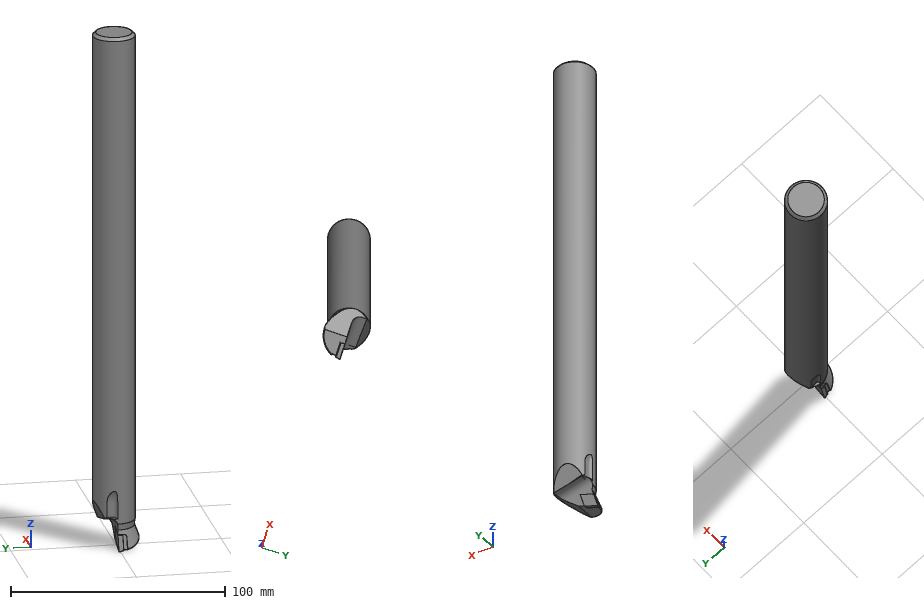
import cadquery as cq
import math


total_length = 251.2
shank_radius = 20.0 / 2
top_chamfer = 1.5

shoulder_z = 12.8
neck_radius = 9.92
neck_waist_radius = 9.67
flare_top_z = 9.8
flare_slope = 0.38
flare_bottom_z = -2.5
head_chamfer = 0.8

tip_x = -12.8
tip_z = 0.0
nose_angle = 55.0
edge_length = 7.8
insert_thickness = 2.39
flank_angle = 7.0
end_edge_angle = (90 - nose_angle) / 2
end_slope = math.tan(math.radians(end_edge_angle))

underside_rise = 0.3
clearance_slope = 0.77
clearance_z = 5.3

floor_z = 13.0
floor_slope = 0.25
floor_fillet = 3.8
wall_start_y = 6.0
wall_slope_x = 0.33
wall_slope_y = 2.2

slot_x = -8.8
slot_bottom_z = 16.5
slot_bottom_round = 1.3
slot_straight_z = 23.5
slot_runout_radius = 13.8
slot_runout_turn = 45.0
slot_fillet = 1.8

flat_depth = 4.3
flat_top_z = 8.0
flat_corner_radius = 1.5
flat_setback = 0.5

reach = 30.2


def make_blank():
    """Turned bar with its top chamfer, neck and flared head."""
    flare_bottom_radius = neck_waist_radius + flare_slope * (flare_top_z - flare_bottom_z)
    return (
        cq.Workplane("XZ")
        .moveTo(0, flare_bottom_z)
        .lineTo(flare_bottom_radius, flare_bottom_z)
        .lineTo(neck_waist_radius, flare_top_z)
        .lineTo(neck_radius, shoulder_z)
        .lineTo(shank_radius, shoulder_z)
        .lineTo(shank_radius, total_length - top_chamfer)
        .lineTo(shank_radius - top_chamfer, total_length)
        .lineTo(0, total_length)
        .close()
        .revolve(360, (0, 0, 0), (0, 1, 0))
    )


def make_underside_cutter():
    """Space below the end face, which rises with X."""
    plane = cq.Plane(
        origin=(tip_x, 0, underside_rise),
        xDir=(1, 0, end_slope),
        normal=(-end_slope, 0, 1),
    )
    return cq.Workplane(plane).rect(2 * reach, 2 * reach).extrude(-reach)


def make_clearance_cutter():
    """Space below the steep face that backs the head off toward +X."""
    return (
        cq.Workplane("XZ")
        .moveTo(-reach, clearance_z - clearance_slope * reach)
        .lineTo(reach, clearance_z + clearance_slope * reach)
        .lineTo(reach, clearance_z - clearance_slope * reach)
        .close()
        .extrude(reach, both=True)
    )


def make_floor_cutter():
    """Space in front of the rake plane, below a floor that drops toward +X."""
    plane = cq.Plane(origin=(0, 0, floor_z), xDir=(0, 1, 0), normal=(1, 0, -floor_slope))
    corner = floor_fillet * (1 - math.sqrt(0.5))
    return (
        cq.Workplane(plane)
        .moveTo(0, -reach)
        .lineTo(0, -floor_fillet)
        .threePointArc((corner, -corner), (floor_fillet, 0))
        .lineTo(reach, 0)
        .lineTo(reach, -reach)
        .close()
        .extrude(reach, both=True)
    )


def make_wall_cutter():
    """Space below the steep flat that runs from the floor out to the +Y side."""
    plane = cq.Plane(
        origin=(0, wall_start_y, floor_z),
        xDir=(1, 0, -wall_slope_x),
        normal=(wall_slope_x, -wall_slope_y, 1),
    )
    below_wall = cq.Workplane(plane).rect(2 * reach, 2 * reach).extrude(-reach)
    in_front = (
        cq.Workplane("XY", origin=(0, wall_start_y, 0))
        .box(2 * reach, reach, 2 * reach, centered=(True, False, True))
    )
    return below_wall.intersect(in_front)


def make_slot_cutter():
    """Shallow slot above the chip space, running out of the bar on an arc."""
    turn = math.radians(slot_runout_turn)
    runout_end = (
        slot_x - slot_runout_radius * (1 - math.cos(turn)),
        slot_straight_z + slot_runout_radius * math.sin(turn),
    )
    runout_middle = (
        slot_x - slot_runout_radius * (1 - math.cos(turn / 2)),
        slot_straight_z + slot_runout_radius * math.sin(turn / 2),
    )
    wall_foot = cq.selectors.NearestToPointSelector(
        (slot_x, 0, (slot_bottom_z + slot_straight_z) / 2)
    )
    round_offset = slot_bottom_round * (1 - math.sqrt(0.5))
    return (
        cq.Workplane("XZ")
        .moveTo(slot_x + slot_bottom_round, slot_bottom_z - slot_bottom_round)
        .threePointArc(
            (slot_x + round_offset, slot_bottom_z - slot_bottom_round * math.sqrt(0.5)),
            (slot_x, slot_bottom_z),
        )
        .lineTo(slot_x, slot_straight_z)
        .threePointArc(runout_middle, runout_end)
        .lineTo(-reach, runout_end[1])
        .lineTo(-reach, slot_bottom_z - slot_bottom_round)
        .close()
        .extrude(-shank_radius)
        .edges(wall_foot)
        .fillet(slot_fillet)
    )


def make_insert():
    """Rhombic insert whose flanks draw in below the rake plane."""
    low = math.radians(end_edge_angle)
    high = math.radians(end_edge_angle + nose_angle)
    end_step = (edge_length * math.cos(low), edge_length * math.sin(low))
    side_step = (edge_length * math.cos(high), edge_length * math.sin(high))
    return (
        cq.Workplane("XZ")
        .moveTo(tip_x, tip_z)
        .line(*end_step)
        .line(*side_step)
        .line(-end_step[0], -end_step[1])
        .close()
        .extrude(insert_thickness, taper=flank_angle)
    )


def make_flat_cutter():
    """Space outside a flat that runs along the side flank of the insert."""
    plane = cq.Plane(
        origin=(tip_x + flat_setback, 0, 0),
        xDir=(0, -1, 0),
        normal=(-1, -math.tan(math.radians(flank_angle)), end_slope),
    )
    return (
        cq.Workplane(plane)
        .rect(2 * flat_depth, 2 * flat_top_z)
        .extrude(reach)
        .edges(cq.selectors.ParallelDirSelector(plane.zDir))
        .fillet(flat_corner_radius)
    )


def make_holder(insert):
    """Bar with its cut-away head and a seat matching the insert."""
    return (
        make_blank()
        .cut(make_underside_cutter())
        .faces("<Z")
        .chamfer(head_chamfer)
        .cut(make_clearance_cutter())
        .cut(make_flat_cutter())
        .cut(make_floor_cutter())
        .cut(make_wall_cutter())
        .cut(make_slot_cutter())
        .cut(insert)
    )


insert = make_insert()
holder = make_holder(insert)
result = cq.Compound.makeCompound([holder.val(), insert.val()])